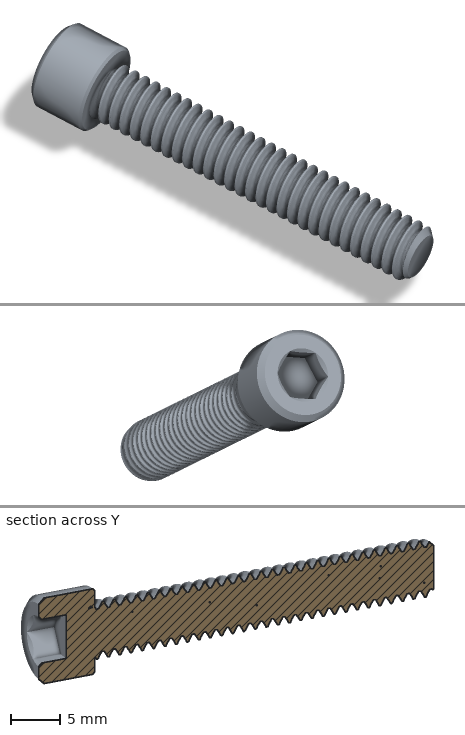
import cadquery as cq
import math

overall_length = 44.45
axis_origin = (0, 0, 0)

head_diameter = 9.5
head_length = 6.35
head_front_chamfer = 0.62
head_back_chamfer = 0.25

socket_across_flats = 4.75
socket_across_corners = socket_across_flats / math.cos(math.pi / 6)
socket_depth = 3.05
socket_lead_in = 0.35

thread_diameter = 6.35
pitches_per_diameter = 5
pitch = thread_diameter / pitches_per_diameter
crest_flat = pitch / 8
flank_slope = math.tan(math.pi / 6)
thread_depth = 0.75
tip_chamfer = 0.8
tip_margin = 0.22
first_root = 5.02
thread_start = first_root + pitch / 2
flank_samples = 3


def make_head():
    """Cylindrical head, chamfered at both ends, with its front face at Z = 0."""
    head = cq.Workplane("XY").circle(head_diameter / 2).extrude(head_length)
    head = head.faces("<Z").chamfer(head_front_chamfer)
    return head.faces(">Z").chamfer(head_back_chamfer)


def polar_point(radius, angle):
    """Point in the XY plane at the given radius and angle from +X."""
    return (radius * math.cos(angle), radius * math.sin(angle))


def make_rod_section():
    """Cross-section of the threaded rod: crest arc, spiral flank, root arc, spiral flank."""
    crest_radius = thread_diameter / 2
    root_radius = crest_radius - thread_depth
    angle_per_length = 2 * math.pi / pitch
    crest_end = crest_flat / 2 * angle_per_length
    root_start = crest_end + thread_depth * flank_slope * angle_per_length
    flank = []
    for step in range(flank_samples + 1):
        fraction = step / flank_samples
        radius = crest_radius - fraction * thread_depth
        flank.append(polar_point(radius, crest_end + fraction * (root_start - crest_end)))
    mirrored_flank = [(x, -y) for x, y in reversed(flank)]
    return (
        cq.Workplane("XY")
        .workplane(offset=thread_start)
        .moveTo(*mirrored_flank[-1])
        .threePointArc((crest_radius, 0), flank[0])
        .spline(flank[1:], includeCurrent=True)
        .threePointArc((-root_radius, 0), mirrored_flank[0])
        .spline(mirrored_flank[1:], includeCurrent=True)
        .close()
    )


def make_tip_cutter():
    """Triangular ring that bevels the free end of the rod."""
    rod_radius = thread_diameter / 2
    profile = [
        (rod_radius - tip_chamfer - tip_margin, overall_length + tip_margin),
        (rod_radius + tip_margin, overall_length + tip_margin),
        (rod_radius + tip_margin, overall_length - tip_chamfer - tip_margin),
    ]
    return cq.Workplane("XZ").polyline(profile).close().revolve(360, (0, 0), (0, 1))


def make_threaded_rod():
    """Threaded rod, made by twisting its cross-section one turn per pitch, with a beveled tip."""
    rod_length = overall_length - thread_start
    rod = make_rod_section().twistExtrude(rod_length, 360 * rod_length / pitch)
    return rod.cut(make_tip_cutter())


def make_socket():
    """Hexagonal recess with a conical lead-in reaching the hexagon's corners."""
    hexagon = cq.Workplane("XY").polygon(6, socket_across_corners).extrude(socket_depth)
    lead_in_radius = socket_across_corners / 2
    lead_in_end_radius = socket_across_flats / 2
    lead_in = cq.Workplane("XZ").polyline(
        [(0, 0), (lead_in_radius, 0), (lead_in_end_radius, socket_lead_in), (0, socket_lead_in)]
    ).close().revolve(360, (0, 0), (0, 1))
    return hexagon.union(lead_in)


screw = make_head().union(make_threaded_rod()).cut(make_socket())

result = screw.rotate(axis_origin, (1, 1, 1), 120)